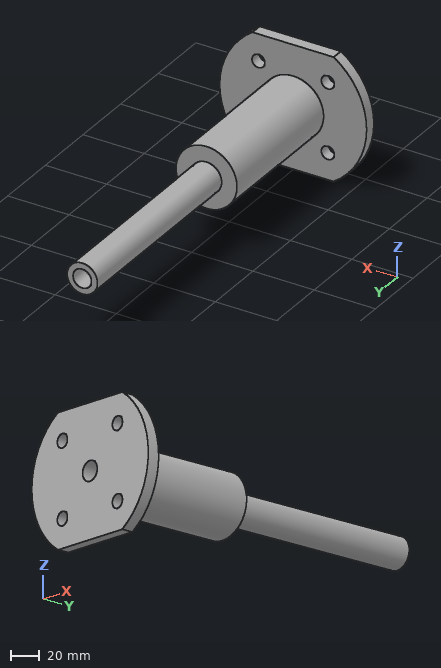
import cadquery as cq

total_length = 290.0
flange_diameter = 120.0
flange_height = 100.0
flange_thickness = 10.0
sleeve_diameter = 50.0
sleeve_end = 125.0
rod_diameter = 25.0
bore_diameter = 15.0
bolt_circle_diameter = 80.0
bolt_hole_diameter = 10.5
bolt_count = 4
first_bolt_angle = 45


def cylinder(diameter, length):
    """Solid cylinder along +Y starting at the flange face."""
    return cq.Workplane("XZ").circle(diameter / 2).extrude(-length)


def make_flange():
    """Round flange trimmed by flats at top and bottom, with bolt holes."""
    flats = cq.Workplane("XZ").rect(flange_diameter, flange_height).extrude(-flange_thickness)
    bolt_holes = (
        cq.Workplane("XZ")
        .polarArray(bolt_circle_diameter / 2, first_bolt_angle, 360, bolt_count)
        .circle(bolt_hole_diameter / 2)
        .extrude(-flange_thickness)
    )
    return cylinder(flange_diameter, flange_thickness).intersect(flats).cut(bolt_holes)


sleeve = cylinder(sleeve_diameter, sleeve_end)
rod = cylinder(rod_diameter, total_length)
through_bore = cylinder(bore_diameter, total_length)

result = make_flange().union(sleeve).union(rod).cut(through_bore)